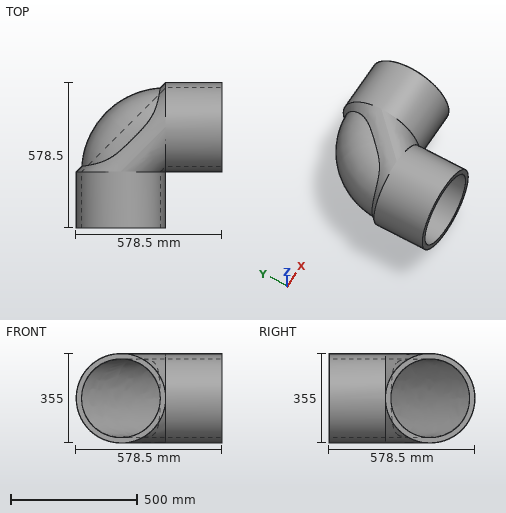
import cadquery as cq

overall_length = 578.5
outer_diameter = 355.0
bore_diameter = 312.5

outer_radius = outer_diameter / 2
bore_radius = bore_diameter / 2
socket_length = overall_length - outer_diameter
bend_radius = outer_radius


def front_socket():
    """Straight pipe end along -Y."""
    return (
        cq.Workplane("XZ", origin=(-bend_radius, 0, 0))
        .circle(outer_radius)
        .circle(bore_radius)
        .extrude(socket_length)
    )


def side_socket():
    """Straight pipe end along +X."""
    return (
        cq.Workplane("YZ", origin=(0, bend_radius, 0))
        .circle(outer_radius)
        .circle(bore_radius)
        .extrude(socket_length)
    )


def slanted_cylinder(radius):
    """Oblique cylinder whose cuts at Y = 0 and X = 0 are circles of the given radius."""
    overrun = outer_diameter
    start = cq.Vector(-bend_radius - overrun, -overrun, 0)
    rim = cq.Wire.makeCircle(radius, start, cq.Vector(0, 1, 0))
    slant_run = bend_radius + 2 * overrun
    slant = cq.Vector(slant_run, slant_run, 0)
    return cq.Workplane(cq.Solid.extrudeLinear(rim, [], slant))


def rounded_back():
    """Quarter torus bulging from the outside of the bend."""
    return (
        cq.Workplane("XZ", origin=(-bend_radius, 0, 0))
        .circle(bore_radius)
        .revolve(90, (bend_radius, 0, 0), (bend_radius, -1, 0))
    )


def elbow():
    """Oblique link between the sockets, with its rounded back and slanted bore."""
    corner_block = (
        cq.Workplane("XY")
        .box(overall_length, overall_length, overall_length)
        .translate((-overall_length / 2, overall_length / 2, 0))
    )
    link = slanted_cylinder(outer_radius).intersect(corner_block)
    return link.union(rounded_back()).cut(slanted_cylinder(bore_radius))


result = elbow().union(front_socket()).union(side_socket())